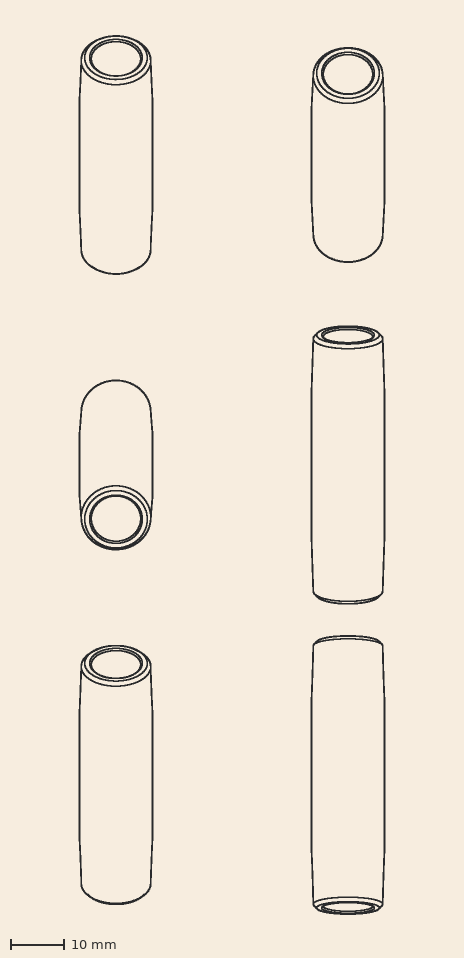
import cadquery as cq

length = 50.8
body_diameter = 13.7
taper_length = 11.05
taper_end_diameter = 13.05
chamfer_length = 0.7
end_face_diameter = 11.75
bore_diameter = 9.25
bore_mouth_diameter = 9.85
bore_chamfer_length = (bore_mouth_diameter - bore_diameter) / 2

body_radius = body_diameter / 2
taper_end_radius = taper_end_diameter / 2
end_face_radius = end_face_diameter / 2
bore_radius = bore_diameter / 2
bore_mouth_radius = bore_mouth_diameter / 2

wall_section = [
    (bore_radius, bore_chamfer_length),
    (bore_mouth_radius, 0),
    (end_face_radius, 0),
    (taper_end_radius, chamfer_length),
    (body_radius, taper_length),
    (body_radius, length - taper_length),
    (taper_end_radius, length - chamfer_length),
    (end_face_radius, length),
    (bore_mouth_radius, length),
    (bore_radius, length - bore_chamfer_length),
]

result = (
    cq.Workplane("XZ")
    .polyline(wall_section)
    .close()
    .revolve(360, (0, 0, 0), (0, 1, 0))
)